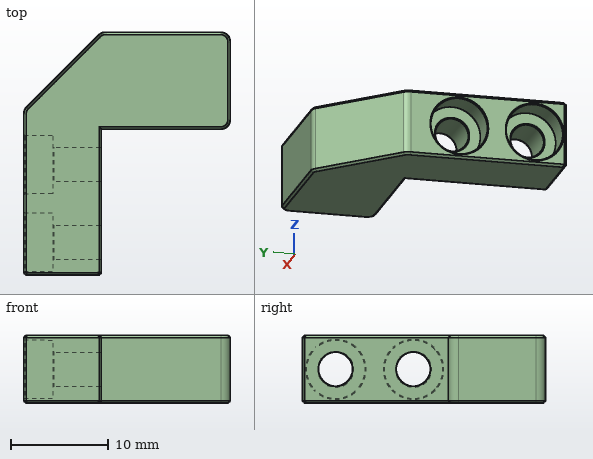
import cadquery as cq

width = 21.25
length = 25.0
height = 7.0

long_arm_width = 8.0
short_arm_width = 10.0
corner_cut = 8.0
corner_radius = 1.0
edge_chamfer = 0.25

hole_diameter = 3.5
counterbore_diameter = 6.0
counterbore_depth = 3.0
hole_chamfer = 0.1
first_hole_y = 3.4
hole_spacing = 8.0
hole_count = 2

inner_corner_y = length - short_arm_width


def make_body():
    """L-shaped block with its outer corner cut at 45 degrees and its edges broken."""
    outline = [
        (0, 0),
        (long_arm_width, 0),
        (long_arm_width, inner_corner_y),
        (width, inner_corner_y),
        (width, length),
        (corner_cut, length),
        (0, length - corner_cut),
    ]
    body = cq.Workplane("XY").polyline(outline).close().extrude(height)

    short_arm_end = body.edges("|Z and >X")
    corner_cut_ends = body.edges(
        cq.selectors.BoxSelector(
            (-edge_chamfer, length - corner_cut - edge_chamfer, 0),
            (corner_cut + edge_chamfer, length + edge_chamfer, height),
        )
    ).edges("|Z")
    body = short_arm_end.add(corner_cut_ends).fillet(corner_radius)

    body = body.edges("|Z and <Y").chamfer(edge_chamfer)
    return body.faces("<Z or >Z").edges().chamfer(edge_chamfer)


def countersink(x, y, diameter):
    """Cone that breaks the rim of a bore of this diameter opening towards -X at x."""
    radius = diameter / 2
    return cq.Workplane(
        cq.Solid.makeCone(
            radius + hole_chamfer,
            radius,
            hole_chamfer,
            pnt=cq.Vector(x, y, height / 2),
            dir=cq.Vector(1, 0, 0),
        )
    )


def bore(y, diameter, depth):
    """Cylinder running from the -X side to the given depth."""
    return cq.Workplane("YZ").center(y, height / 2).circle(diameter / 2).extrude(depth)


def make_hole(y):
    """Counterbored through hole with both rims broken."""
    hole = bore(y, hole_diameter, long_arm_width)
    hole = hole.union(bore(y, counterbore_diameter, counterbore_depth))
    hole = hole.union(countersink(0, y, counterbore_diameter))
    return hole.union(countersink(counterbore_depth, y, hole_diameter))


result = make_body()
for index in range(hole_count):
    result = result.cut(make_hole(first_hole_y + index * hole_spacing))